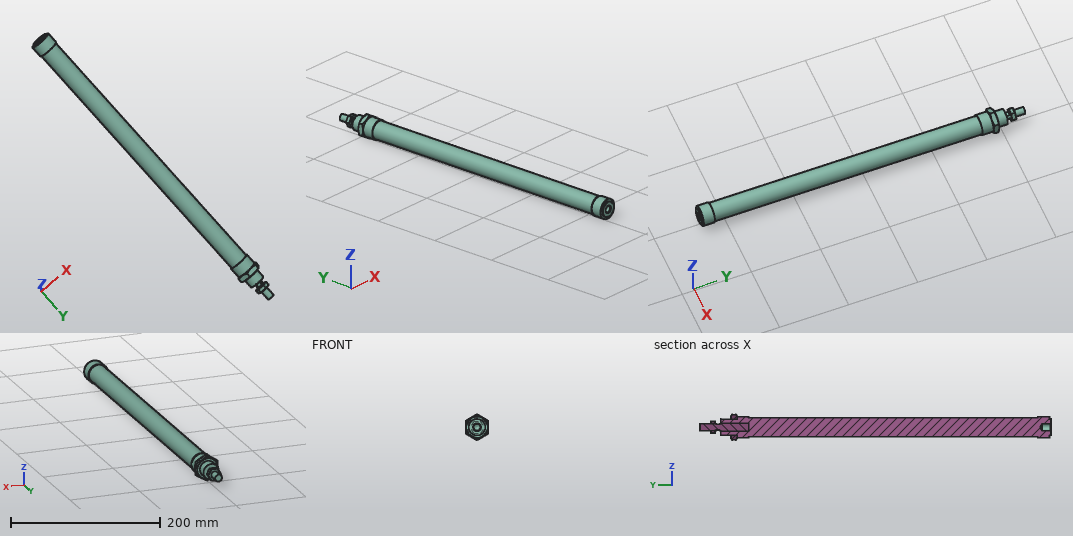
import cadquery as cq
import math

TOTAL_LENGTH = 470.5
BOSS_LENGTH = 2.0
REAR_CAP_END = 18.0
FRONT_CAP_START = 405.0
MOUNT_NUT_START = 420.5
NOSE_END = 442.7
ROD_NUT_START = 450.5

TUBE_DIAMETER = 26.5
CAP_DIAMETER = 28.5
NOSE_DIAMETER = 22.0
BOSS_DIAMETER = NOSE_DIAMETER

PORT_DIAMETER = 9.0
PORT_MOUTH_DIAMETER = 11.0
PORT_DEPTH = 11.8
DRILL_POINT_ANGLE = 118.0

ROD_DIAMETER = 10.0
WRENCH_FLAT_WIDTH = 8.0
WRENCH_FLAT_START = 444.0
WRENCH_FLAT_END = 449.0

MOUNT_NUT_WIDTH = 30.0
MOUNT_NUT_THICKNESS = 8.5
MOUNT_NUT_FACE_DIAMETER = 29.0
NUT_BEVEL_ANGLE = 30.0
ROD_NUT_WIDTH = 16.0
ROD_NUT_THICKNESS = 5.5


def across_corners(width):
    """Corner-to-corner size of a hexagon with the given width across flats."""
    return width / math.cos(math.radians(30))


def cross_section(y):
    """Workplane normal to the cylinder axis, extruding toward +Y."""
    return cq.Workplane(cq.Plane(origin=(0, y, 0), xDir=(1, 0, 0), normal=(0, 1, 0)))


def cylinder(diameter, start, end):
    return cross_section(start).circle(diameter / 2).extrude(end - start)


def make_port():
    """Blind drilled hole with a chamfered mouth at the rear end and a conical bottom."""
    radius = PORT_DIAMETER / 2
    tip = PORT_DEPTH + radius / math.tan(math.radians(DRILL_POINT_ANGLE / 2))
    mouth_radius = PORT_MOUTH_DIAMETER / 2
    chamfer = mouth_radius - radius
    profile = [(0, 0), (mouth_radius, 0), (radius, chamfer), (radius, PORT_DEPTH), (0, tip)]
    return cq.Workplane("XY").polyline(profile).close().revolve(360, (0, 0), (0, 1))


def make_housing():
    """Barrel with its end caps, front nose and rear boss."""
    boss = cylinder(BOSS_DIAMETER, 0, BOSS_LENGTH)
    rear_cap = cylinder(CAP_DIAMETER, BOSS_LENGTH, REAR_CAP_END)
    tube = cylinder(TUBE_DIAMETER, REAR_CAP_END, FRONT_CAP_START)
    front_cap = cylinder(CAP_DIAMETER, FRONT_CAP_START, MOUNT_NUT_START)
    nose = cylinder(NOSE_DIAMETER, MOUNT_NUT_START, NOSE_END)
    rod_bore = cylinder(ROD_DIAMETER, FRONT_CAP_START, NOSE_END)
    body = boss.union(rear_cap).union(tube).union(front_cap).union(nose)
    return body.cut(rod_bore).cut(make_port())


def make_rod():
    """Piston rod with two wrench flats facing up and down."""
    rod = cylinder(ROD_DIAMETER, FRONT_CAP_START, TOTAL_LENGTH)
    flat_length = WRENCH_FLAT_END - WRENCH_FLAT_START
    cutter_size = 2 * ROD_DIAMETER
    flat_section = cross_section(WRENCH_FLAT_START).rect(cutter_size, cutter_size)
    flat_section = flat_section.rect(cutter_size, WRENCH_FLAT_WIDTH)
    return rod.cut(flat_section.extrude(flat_length))


def hexagon_nut(width, thickness, bore, start):
    """Plain hexagon nut with two corners on the X axis."""
    blank = cross_section(start).polygon(6, across_corners(width)).extrude(thickness)
    return blank.cut(cylinder(bore, start, start + thickness))


def make_mount_nut():
    """Nut on the nose, corners up and down, with conical bevels on both faces."""
    nut = hexagon_nut(MOUNT_NUT_WIDTH, MOUNT_NUT_THICKNESS, NOSE_DIAMETER, MOUNT_NUT_START)
    nut = nut.rotate((0, 0, 0), (0, 1, 0), 90)
    corner_diameter = across_corners(MOUNT_NUT_WIDTH)
    bevel_width = (corner_diameter - MOUNT_NUT_FACE_DIAMETER) / 2
    bevel_height = bevel_width * math.tan(math.radians(NUT_BEVEL_ANGLE))
    envelope = cylinder(corner_diameter, MOUNT_NUT_START, MOUNT_NUT_START + MOUNT_NUT_THICKNESS)
    envelope = envelope.faces("<Y").chamfer(bevel_height, bevel_width)
    envelope = envelope.faces(">Y").chamfer(bevel_height, bevel_width)
    return nut.intersect(envelope)


def make_rod_nut():
    """Lock nut on the rod, flats up and down."""
    return hexagon_nut(ROD_NUT_WIDTH, ROD_NUT_THICKNESS, ROD_DIAMETER, ROD_NUT_START)


housing = make_housing()
rod = make_rod()
mount_nut = make_mount_nut()
rod_nut = make_rod_nut()

result = cq.Compound.makeCompound([housing.val(), rod.val(), mount_nut.val(), rod_nut.val()])